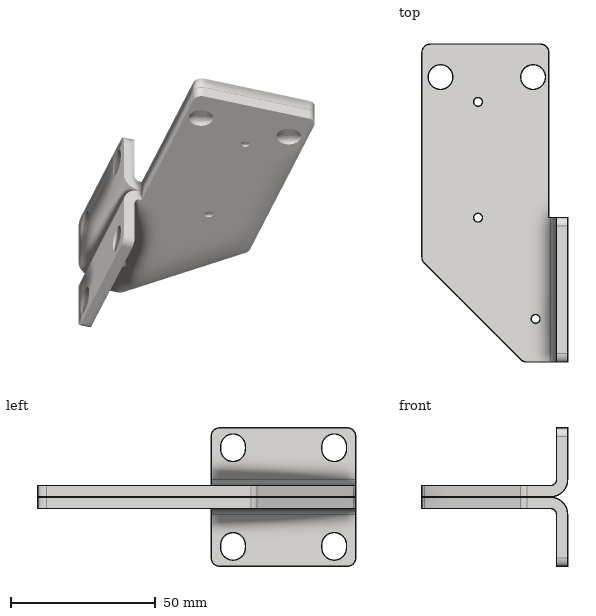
import cadquery as cq

length = 110.0
overall_width = 50.5
overall_height = 48.0
bracket_gap = 0.1
flange_height = (overall_height - bracket_gap) / 2
thickness = 4.0
plate_width = 44.0
flange_length = 50.0
chamfer_leg = 35.1
corner_radius = 3.0
bend_inner_radius = 2.0
bend_outer_radius = bend_inner_radius + thickness
bend_start = overall_width - bend_outer_radius
overshoot = 1.1

large_hole_diameter = 8.5
large_hole_centers = [(6.5, 98.6), (38.5, 98.6)]
small_hole_diameter = 3.0
small_hole_centers = [(19.5, 90.0), (19.5, 49.9), (39.4, 15.0)]

slot_width = 8.5
slot_height = 9.5
slot_spacing_z = 34.1
slot_z = (slot_spacing_z - bracket_gap) / 2
slot_ys = [7.5, 42.5]


def make_plate():
    """Flat plate with a 45 degree cut corner and four rounded corners; its back lies at Z = 0."""
    plate = (
        cq.Workplane("XY")
        .moveTo(chamfer_leg, 0)
        .lineTo(plate_width, 0)
        .lineTo(plate_width, length)
        .lineTo(0, length)
        .lineTo(0, chamfer_leg)
        .close()
        .extrude(thickness)
    )
    rear_corners = plate.edges("|Z and >Y")
    cut_corners = plate.edges("|Z").edges(
        cq.selectors.BoxSelector(
            (-overshoot, -overshoot, 0),
            (chamfer_leg + overshoot, chamfer_leg + overshoot, thickness),
        )
    )
    return plate.newObject(rear_corners.vals() + cut_corners.vals()).fillet(corner_radius)


def make_bent_flange():
    """L-shaped strip that continues the plate, bends upward and ends in the flange."""
    inner_face = overall_width - thickness
    strip = (
        cq.Workplane("XZ")
        .moveTo(plate_width, 0)
        .lineTo(bend_start, 0)
        .radiusArc((overall_width, bend_outer_radius), -bend_outer_radius)
        .lineTo(overall_width, flange_height)
        .lineTo(inner_face, flange_height)
        .lineTo(inner_face, bend_outer_radius)
        .radiusArc((bend_start, thickness), bend_inner_radius)
        .lineTo(plate_width, thickness)
        .close()
        .extrude(-flange_length)
    )
    return strip.edges("|X and >Z").fillet(corner_radius)


def cylinders(centers, diameter):
    return (
        cq.Workplane("XY", origin=(0, 0, -overshoot))
        .pushPoints(centers)
        .circle(diameter / 2)
        .extrude(thickness + 2 * overshoot)
    )


def flange_slots():
    return (
        cq.Workplane("YZ", origin=(overall_width - thickness - overshoot, 0, 0))
        .pushPoints([(y, slot_z) for y in slot_ys])
        .slot2D(slot_height, slot_width, 90)
        .extrude(thickness + 2 * overshoot)
    )


def make_bracket():
    bracket = make_plate().union(make_bent_flange()).clean()
    bracket = bracket.cut(cylinders(large_hole_centers, large_hole_diameter))
    bracket = bracket.cut(cylinders(small_hole_centers, small_hole_diameter))
    return bracket.cut(flange_slots())


upper_bracket = make_bracket().translate((0, 0, bracket_gap / 2))
lower_bracket = upper_bracket.mirror("XY")

result = cq.Compound.makeCompound([upper_bracket.val(), lower_bracket.val()])